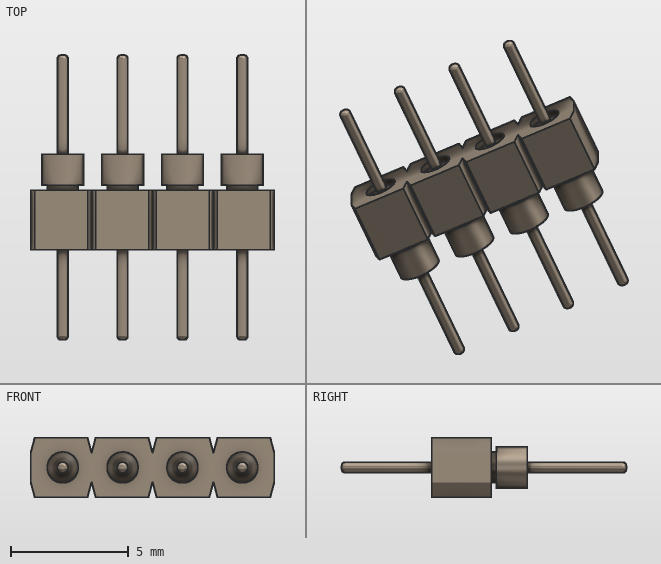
import cadquery as cq
import math

contact_count = 4
pin_pitch = 2.55

housing_length = 10.36
housing_height = 2.55
housing_depth = 2.55
cell_length = housing_length / contact_count
bevel_width = 0.17
bevel_height = 0.64

overall_length = 12.12
pin_diameter = 0.46
neck_diameter = 1.32
head_diameter = 1.78
front_pin_length = 3.83
neck_gap = 0.2
head_length = 1.32
tip_radius = 0.17
recess_depth = 0.24
cone_length = 0.15

front_tip = -overall_length / 2
back_tip = overall_length / 2
housing_front = front_tip + front_pin_length
housing_back = housing_front + housing_depth
head_front = housing_back + neck_gap
head_back = head_front + head_length
neck_front = housing_front + recess_depth
cone_front = neck_front - cone_length

pin_positions = [(i - (contact_count - 1) / 2) * pin_pitch for i in range(contact_count)]


def housing_outline():
    """Bevelled cells joined end to end, walked along the top and back along the bottom."""
    half_height = housing_height / 2
    waist = half_height - bevel_height
    left_end = -housing_length / 2
    top = [(left_end, waist)]
    for i in range(contact_count):
        cell_start = left_end + i * cell_length
        cell_end = cell_start + cell_length
        top.append((cell_start + bevel_width, half_height))
        top.append((cell_end - bevel_width, half_height))
        top.append((cell_end, waist))
    bottom = [(x, -z) for x, z in reversed(top)]
    return top + bottom


def make_housing():
    """Notched bar with a straight through hole for each contact."""
    front_plane = cq.Workplane("XZ", origin=(0, housing_front, 0))
    body = front_plane.polyline(housing_outline()).close().extrude(-housing_depth)
    holes = (
        front_plane.pushPoints([(x, 0) for x in pin_positions])
        .circle(neck_diameter / 2)
        .extrude(-housing_depth)
    )
    return body.cut(holes)


def make_contact(x):
    """Turned contact: round-edged pin, conical shoulder, neck and head, revolved about Y."""
    pin_radius = pin_diameter / 2
    neck_radius = neck_diameter / 2
    head_radius = head_diameter / 2
    tip_flat = pin_radius - tip_radius
    arc_reach = tip_radius * math.sin(math.radians(45))
    arc_mid_radius = tip_flat + arc_reach
    arc_mid_inset = tip_radius - arc_reach
    profile = (
        cq.Workplane("XY")
        .moveTo(0, front_tip)
        .lineTo(tip_flat, front_tip)
        .threePointArc((arc_mid_radius, front_tip + arc_mid_inset), (pin_radius, front_tip + tip_radius))
        .lineTo(pin_radius, cone_front)
        .lineTo(neck_radius, neck_front)
        .lineTo(neck_radius, head_front)
        .lineTo(head_radius, head_front)
        .lineTo(head_radius, head_back)
        .lineTo(pin_radius, head_back)
        .lineTo(pin_radius, back_tip - tip_radius)
        .threePointArc((arc_mid_radius, back_tip - arc_mid_inset), (tip_flat, back_tip))
        .lineTo(0, back_tip)
        .close()
    )
    return profile.revolve(360, (0, 0, 0), (0, 1, 0)).translate((x, 0, 0))


housing = make_housing()
contacts = [make_contact(x) for x in pin_positions]

result = cq.Compound.makeCompound([housing.val(), *[contact.val() for contact in contacts]])